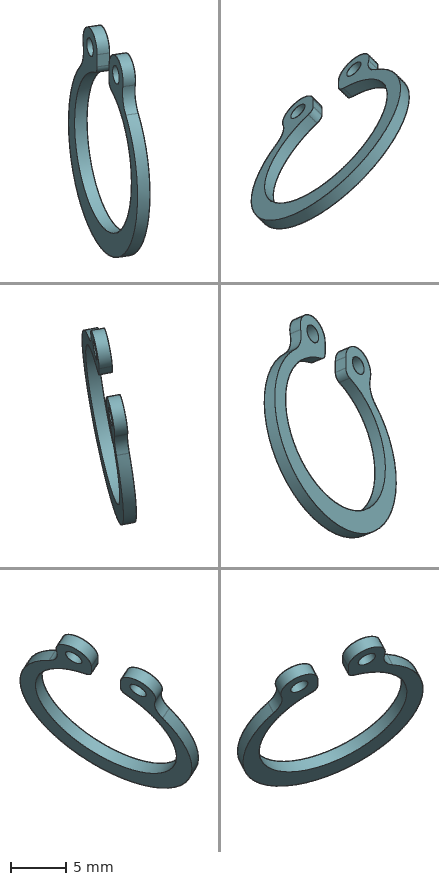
import cadquery as cq
import math

thickness = 1.2
outer_radius = 8.95
bore_radius = 7.34
bore_offset = 0.63
overall_height = 20.45
lug_radius = 1.84
lug_spacing = 6.7
hole_diameter = 1.7
neck_radius = 2.5
tip_radius = 0.82

lug_x = lug_spacing / 2
lug_z = overall_height - outer_radius - lug_radius
gap_x = lug_x - lug_radius


def point_toward(start, end, distance):
    """Point at a distance from start along the line to end."""
    length = math.dist(start, end)
    return tuple(a + (b - a) * distance / length for a, b in zip(start, end))


def arc_middle(center, start, end, radius):
    """Middle point of the shorter arc from start to end."""
    chord_middle = tuple((a + b) / 2 for a, b in zip(start, end))
    return point_toward(center, chord_middle, radius)


def mirrored(point):
    return (-point[0], point[1])


outer_center = (0, 0)
lug_center = (lug_x, lug_z)
lug_distance = math.dist(outer_center, lug_center)
neck_to_outer = outer_radius + neck_radius
neck_to_lug = lug_radius + neck_radius
neck_angle = math.acos(
    (neck_to_outer**2 + lug_distance**2 - neck_to_lug**2) / (2 * neck_to_outer * lug_distance)
)
neck_direction = math.atan2(lug_z, lug_x) - neck_angle
neck_center = (neck_to_outer * math.cos(neck_direction), neck_to_outer * math.sin(neck_direction))
neck_start = point_toward(outer_center, neck_center, outer_radius)
neck_end = point_toward(lug_center, neck_center, lug_radius)
neck_middle = arc_middle(neck_center, neck_start, neck_end, neck_radius)

bore_center = (0, bore_offset)
tip_x = gap_x + tip_radius
tip_to_bore = bore_radius + tip_radius
tip_center = (tip_x, bore_offset + math.sqrt(tip_to_bore**2 - tip_x**2))
tip_start = (gap_x, tip_center[1])
tip_end = point_toward(bore_center, tip_center, bore_radius)
tip_middle = arc_middle(tip_center, tip_start, tip_end, tip_radius)

lug_top = (lug_x, lug_z + lug_radius)
lug_inner = (gap_x, lug_z)

profile = (
    cq.Workplane("XZ", origin=(0, thickness / 2, 0))
    .moveTo(*mirrored(neck_start))
    .threePointArc((0, -outer_radius), neck_start)
    .threePointArc(neck_middle, neck_end)
    .threePointArc(lug_top, lug_inner)
    .lineTo(*tip_start)
    .threePointArc(tip_middle, tip_end)
    .threePointArc((0, bore_offset - bore_radius), mirrored(tip_end))
    .threePointArc(mirrored(tip_middle), mirrored(tip_start))
    .lineTo(*mirrored(lug_inner))
    .threePointArc(mirrored(lug_top), mirrored(neck_end))
    .threePointArc(mirrored(neck_middle), mirrored(neck_start))
    .close()
)
ring = profile.extrude(thickness)

holes = (
    cq.Workplane("XZ", origin=(0, thickness / 2, 0))
    .pushPoints([lug_center, mirrored(lug_center)])
    .circle(hole_diameter / 2)
    .extrude(thickness)
)

result = ring.cut(holes)